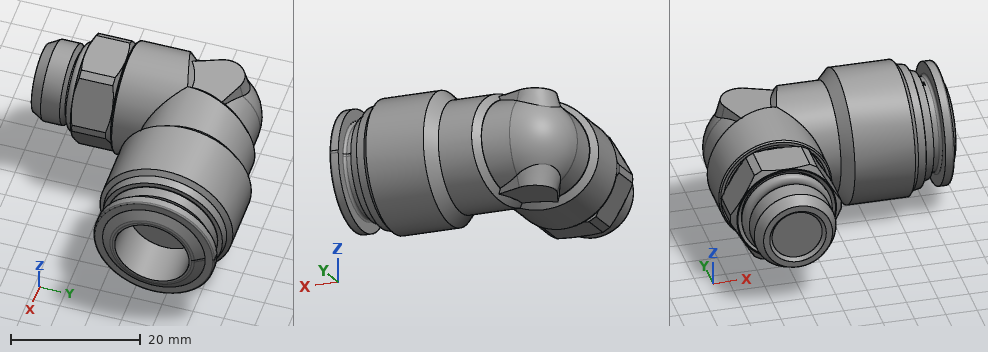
import cadquery as cq
import math


bend_radius = 7.98
leg_radius = 9.0
leg_start = 2.6
leg_slant = 14.8
leg_bevel_along = 0.95
leg_bevel_across = 1.0
stud_leg_end = 13.43
stud_leg_chamfer = 0.25
end_recess_radius = 8.3
end_recess_depth = 0.4

sleeve_radius = 10.75
sleeve_cone_start = 11.55
sleeve_start = 13.3
sleeve_end = 22.95
rim_start = 23.62
rim_end = 24.95
rim_start_radius = 9.95
rim_end_radius = 9.68
guide_start = 25.1
guide_end = 26.45
guide_start_radius = 8.93
guide_end_radius = 8.45

pad_center = 1.5
pad_radius = 3.45
pad_tip = (-2.75, -4.6)
pad_inner = 2.75
pad_depth = 3.95
pad_draft = 15.0

collar_radius = 7.45
collar_insertion = 3.15
collar_start = guide_end - collar_insertion
tube_radius = 6.0
flange_radius = 9.75
flange_start = 28.0
flange_end = 29.45
flange_round = 0.25
neck_fillet = 0.45
nose_base_radius = 8.3
nose_tip_radius = 6.65
nose_round = 0.8
collar_end = 39.5 - leg_radius
slit_width = 1.0
slit_end = 27.15

hex_gap = 0.28
shoulder_radius = 7.7
hex_start = stud_leg_end + hex_gap
hex_end = 20.22
hex_flat = 8.0
hex_corner = 8.85
hex_face_radius = 7.95
hex_corner_reach = hex_corner / math.cos(math.radians(5))
hex_bevel_angle = 30.0
stud_end = 38.05 - sleeve_radius
groove_radius = 5.5
thread_radius = 6.5
groove_end = 21.85
thread_start = 22.4
thread_end = 25.48
bore_mouth_radius = 4.5
bore_floor_radius = 4.0
bore_depth = 0.6
recess_radius = 7.8
seal_section = 1.0
seal_outer_radius = 7.2
seal_front = 21.45


def turned_on_x(points):
    """Solid of revolution about X from (x, radius) points."""
    return cq.Workplane("XY").polyline(points).close().revolve(360, (0, 0, 0), (1, 0, 0))


def turned_on_stud_axis(points):
    """Solid of revolution about Y from (radius, distance toward -Y) points."""
    return (cq.Workplane("XY").polyline([(r, -d) for r, d in points]).close()
            .revolve(360, (0, 0, 0), (0, 1, 0)))


def slanted_leg(length):
    """Leg along +X whose inner end is slanted and bevelled all round."""
    lean = leg_radius * math.tan(math.radians(leg_slant))
    rod = cq.Workplane("YZ").circle(leg_radius).extrude(length)
    side_outline = cq.Workplane("XY").polyline([
        (leg_start - lean, -leg_radius), (length, -leg_radius),
        (length, leg_radius), (leg_start + lean, leg_radius),
    ]).close().extrude(leg_radius, both=True)
    leg = rod.intersect(side_outline)
    return leg.faces("<X").edges().chamfer(leg_bevel_along, leg_bevel_across)


def across_diagonal(body):
    """Mirror image that swaps the tube axis (+X) and the stud axis (-Y)."""
    return body.mirror(cq.Vector(1, 1, 0))


def tangent_point(center, radius, outside):
    """Touching point, on the -X side, of the tangent from an outside point to a circle."""
    dx = outside[0] - center[0]
    dy = outside[1] - center[1]
    angle = math.atan2(dy, dx) - math.acos(radius / math.hypot(dx, dy))
    return center[0] + radius * math.cos(angle), center[1] + radius * math.sin(angle)


def drafted_pad():
    """Rounded pad whose flat top is level with the crown of the corner."""
    center = (-pad_center, pad_center)
    left = tangent_point(center, pad_radius, pad_tip)
    reach = pad_center + pad_radius / math.sqrt(2)
    return (cq.Workplane("XY", origin=(0, 0, bend_radius))
            .moveTo(*pad_tip).lineTo(*left)
            .threePointArc((-reach, reach), (-left[1], -left[0]))
            .lineTo(-pad_tip[1], -pad_tip[0]).lineTo(pad_inner, -pad_inner).close()
            .extrude(-pad_depth, taper=-pad_draft))


def make_elbow():
    corner = cq.Workplane("XY").sphere(bend_radius)
    pipe = cq.Workplane("YZ").circle(bend_radius).extrude(sleeve_cone_start)
    tube_leg = slanted_leg(sleeve_cone_start)
    stud_leg = across_diagonal(slanted_leg(stud_leg_end)).faces("<Y").chamfer(stud_leg_chamfer)
    sleeve = turned_on_x([
        (sleeve_cone_start, 0), (sleeve_cone_start, leg_radius),
        (sleeve_start, sleeve_radius), (sleeve_end, sleeve_radius),
        (rim_start, rim_start_radius), (rim_end, rim_end_radius),
        (rim_end, guide_start_radius), (guide_start, guide_start_radius),
        (guide_end, guide_end_radius), (guide_end, 0),
    ])
    pad = drafted_pad()
    elbow = corner.union(pipe).union(across_diagonal(pipe))
    elbow = elbow.union(pad).union(pad.mirror("XY"))
    elbow = elbow.union(tube_leg).union(stud_leg).union(sleeve)
    socket = cq.Workplane("YZ", origin=(collar_start, 0, 0)).circle(collar_radius)
    end_recess = turned_on_stud_axis([
        (0, stud_leg_end - end_recess_depth), (end_recess_radius, stud_leg_end - end_recess_depth),
        (end_recess_radius, stud_leg_end), (0, stud_leg_end),
    ])
    return elbow.cut(socket.extrude(collar_insertion)).cut(end_recess)


def rounded_at(profile, x, radius, fillet):
    """Profile plate with the corner at (x, radius) rounded."""
    corner = cq.selectors.NearestToPointSelector((x, radius, 0.2))
    return profile.edges("|Z").edges(corner).fillet(fillet)


def make_collar():
    profile = cq.Workplane("XY").polyline([
        (collar_start, tube_radius), (collar_start, collar_radius),
        (flange_start, collar_radius), (flange_start, flange_radius),
        (flange_end, flange_radius), (flange_end, nose_base_radius),
        (collar_end, nose_tip_radius), (collar_end, tube_radius),
    ]).close().extrude(0.4)
    profile = rounded_at(profile, flange_start, collar_radius, neck_fillet)
    profile = rounded_at(profile, flange_end, flange_radius, flange_round)
    profile = rounded_at(profile, collar_end, nose_tip_radius, nose_round)
    ring = profile.faces("<Z").wires().toPending().revolve(360, (0, 0, 0), (1, 0, 0))
    slit = cq.Workplane("XY").box(slit_end - collar_start, slit_width, collar_radius,
                                  centered=(False, True, False))
    return ring.cut(slit.translate((collar_start, 0, 0)))


def hexagon(flat_distance, turn):
    """Hexagonal prism over the hex length, turned about the stud axis."""
    across_corners = 2 * flat_distance / math.cos(math.radians(30))
    return (cq.Workplane("XZ", origin=(0, -hex_start, 0)).polygon(6, across_corners)
            .extrude(hex_end - hex_start).rotate((0, 0, 0), (0, 1, 0), turn))


def make_hex():
    bevel = (hex_corner_reach - hex_face_radius) * math.tan(math.radians(hex_bevel_angle))
    envelope = turned_on_stud_axis([
        (0, hex_start), (hex_face_radius, hex_start), (hex_corner_reach, hex_start + bevel),
        (hex_corner_reach, hex_end - bevel), (hex_face_radius, hex_end), (0, hex_end),
    ])
    return hexagon(hex_flat, 0).intersect(hexagon(hex_corner, 30)).intersect(envelope)


def make_seal():
    ring_radius = seal_outer_radius - seal_section
    section_plane = cq.Plane(origin=(ring_radius, seal_section - seal_front, 0), xDir=(-1, 0, 0))
    return (cq.Workplane(section_plane).circle(seal_section)
            .revolve(360, (ring_radius, 0), (ring_radius, 1)))


def make_stud():
    recess_floor = seal_front - 2 * seal_section
    recess_depth = hex_end - recess_floor
    recess = turned_on_stud_axis([
        (0, recess_floor), (recess_radius - recess_depth, recess_floor),
        (recess_radius, hex_end), (0, hex_end),
    ])
    shoulder_start = stud_leg_end - end_recess_depth
    shoulder = turned_on_stud_axis([
        (0, shoulder_start), (shoulder_radius, shoulder_start),
        (shoulder_radius, hex_start), (0, hex_start),
    ])
    thread = turned_on_stud_axis([
        (0, recess_floor), (groove_radius, recess_floor), (groove_radius, groove_end),
        (thread_radius, thread_start), (thread_radius, thread_end),
        (groove_radius, stud_end), (0, stud_end),
    ])
    bore = turned_on_stud_axis([
        (0, stud_end - bore_depth), (bore_floor_radius, stud_end - bore_depth),
        (bore_mouth_radius, stud_end), (0, stud_end),
    ])
    stud = make_hex().cut(recess).union(shoulder).union(thread)
    return stud.cut(bore).union(make_seal())


elbow = make_elbow()
collar = make_collar()
stud = make_stud()

result = cq.Compound.makeCompound([elbow.val(), collar.val(), stud.val()])